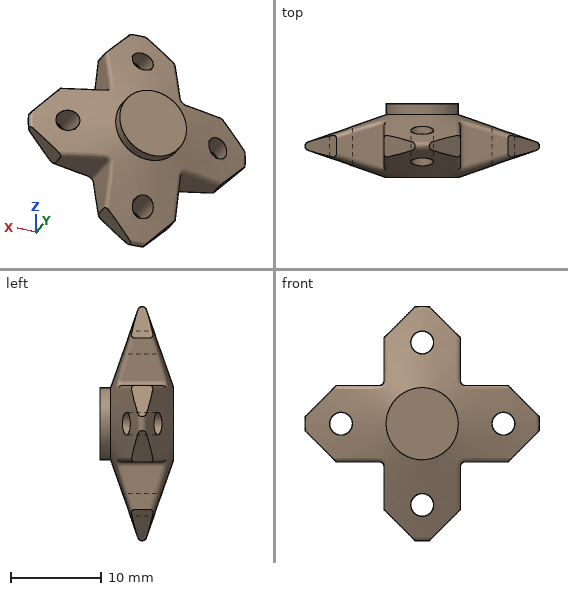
import cadquery as cq
import math

tip_radius = 13.0
tip_round = 0.5
flat_radius = 4.0
half_thickness = 3.5
boss_height = 1.2

arm_half_width = 4.25
arm_count = 4
end_chamfer = 3.5
edge_fillet = 0.5

hole_diameter = 2.5
hole_offset = 9.0

end_cut_sum = tip_radius + arm_half_width - end_chamfer

through_length = 4 * half_thickness
arm_overrun = 1.0
tolerance = 0.01


def extrude_through(sketch):
    """Extrude a sketch on the XZ plane equally to both sides of it."""
    return sketch.extrude(through_length / 2, both=True)


def make_double_cone():
    """Two mirrored truncated cones that meet in a rounded rim."""
    arc_centre = tip_radius - tip_round
    run = arc_centre - flat_radius
    to_centre = math.hypot(run, half_thickness)
    flank_angle = math.atan2(half_thickness, run) - math.asin(tip_round / to_centre)
    touch_radius = arc_centre + tip_round * math.sin(flank_angle)
    touch_height = tip_round * math.cos(flank_angle)
    return (
        cq.Workplane("XY")
        .moveTo(0, -half_thickness)
        .lineTo(flat_radius, -half_thickness)
        .lineTo(touch_radius, -touch_height)
        .threePointArc((tip_radius, 0), (touch_radius, touch_height))
        .lineTo(flat_radius, half_thickness)
        .lineTo(0, half_thickness)
        .close()
        .revolve(360, (0, 0, 0), (0, 1, 0))
    )


def make_cross():
    """Cross prism with pointed arms and rounded inner corners."""
    arm_length = 2 * (tip_radius + arm_overrun)
    arm_width = 2 * arm_half_width
    arm_x = extrude_through(cq.Workplane("XZ").rect(arm_length, arm_width))
    arm_z = extrude_through(cq.Workplane("XZ").rect(arm_width, arm_length))
    inner = arm_half_width + edge_fillet
    around_inner_corners = cq.selectors.BoxSelector(
        (-inner, -through_length, -inner),
        (inner, through_length, inner),
    )
    cross = arm_x.union(arm_z)
    cross = cross.edges("|Y").edges(around_inner_corners).fillet(edge_fillet)
    diamond = extrude_through(cq.Workplane("XZ").polygon(arm_count, 2 * end_cut_sum))
    return cross.intersect(diamond)


def round_arm_edges(body):
    """Round the edges between the arm sides and the cones."""

    def is_arm_edge(edge):
        centre = edge.positionAt(0.5)
        x, y, z = abs(centre.x), abs(centre.y), abs(centre.z)
        off_mid_plane = y > tip_round
        inside_ends = x + z < end_cut_sum - tolerance
        on_side = min(x, z) > arm_half_width - tolerance
        return off_mid_plane and inside_ends and on_side

    edges = [edge for edge in body.edges().vals() if is_arm_edge(edge)]
    return body.newObject(edges).fillet(edge_fillet)


def make_holes():
    """Cutters for one hole through each arm."""
    centres = cq.Workplane("XZ").polarArray(hole_offset, 0, 360, arm_count)
    return extrude_through(centres.circle(hole_diameter / 2))


def make_boss():
    """Round boss on the +Y flat."""
    return (
        cq.Workplane("XZ", origin=(0, half_thickness, 0))
        .circle(flat_radius)
        .extrude(-boss_height)
    )


body = make_double_cone().intersect(make_cross())
body = round_arm_edges(body)
body = body.cut(make_holes())
result = body.union(make_boss())